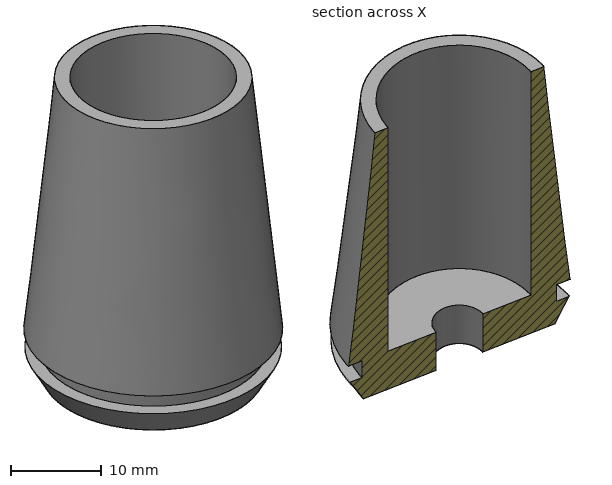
import cadquery as cq

height = 38.0
flange_height = 3.23
groove_width = 2.35
body_bottom = flange_height + groove_width
floor_thickness = body_bottom

body_bottom_radius = 14.25
body_top_radius = 10.85
groove_radius = 12.55
flange_top_radius = 14.15
flange_bottom_radius = 12.3
bore_radius = 9.15
hole_radius = 3.0


def make_sleeve():
    """Revolve the tapered body, neck groove and flared bottom flange about Z."""
    half_section = [
        (hole_radius, 0),
        (flange_bottom_radius, 0),
        (flange_top_radius, flange_height),
        (groove_radius, flange_height),
        (groove_radius, body_bottom),
        (body_bottom_radius, body_bottom),
        (body_top_radius, height),
        (bore_radius, height),
        (bore_radius, floor_thickness),
        (hole_radius, floor_thickness),
    ]
    return cq.Workplane("XZ").polyline(half_section).close().revolve(360, (0, 0), (0, 1))


result = make_sleeve()